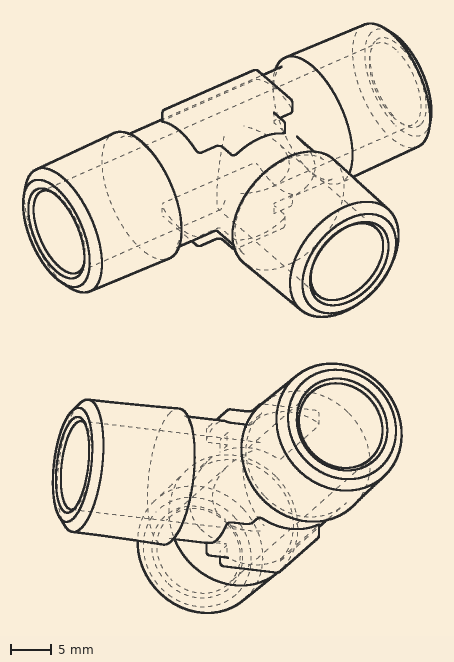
import cadquery as cq
import math

run_length = 52.0
reach = run_length / 2
body_radius = 7.65
bore_radius = 5.5
bore_chamfer = 0.45

spigot_length = 13.0
spigot_base_radius = 17.0 / 2
spigot_tip_radius = 8.25
tip_chamfer_length = 1.05
tip_face_radius = 7.1
shoulder_angle = 30.0
shoulder_fillet = 0.5
shoulder_length = (spigot_base_radius - body_radius) * math.tan(math.radians(shoulder_angle))
tube_reach = reach - spigot_length

junction_fillet = 0.5

pad_half_width = 4.0
pad_half_length = 7.3
pad_stem_reach = 7.0
pad_height = 8.4
pad_fillet = 0.5

end_directions = [(0, 1, 0), (0, -1, 0), (1, 0, 0)]


def end_plane(direction):
    """Plane at the tee centre whose normal points out of one end."""
    return cq.Plane(origin=(0, 0, 0), xDir=(0, 0, 1), normal=direction)


def make_body():
    """Run and branch tubes, still solid, with a rounded junction."""
    run = cq.Workplane("XZ").circle(body_radius).extrude(tube_reach, both=True)
    branch = cq.Workplane("YZ").circle(body_radius).extrude(tube_reach)
    return run.union(branch).edges("%ELLIPSE").fillet(junction_fillet)


def make_spigot(direction):
    """Tapered end with a sloping shoulder and a chamfered tip."""
    shoulder_start = tube_reach - shoulder_length
    tail_start = shoulder_start - shoulder_fillet
    spigot = (
        cq.Workplane("XY")
        .moveTo(0, tail_start)
        .lineTo(body_radius, tail_start)
        .lineTo(body_radius, shoulder_start)
        .lineTo(spigot_base_radius, tube_reach)
        .lineTo(spigot_tip_radius, reach - tip_chamfer_length)
        .lineTo(tip_face_radius, reach)
        .lineTo(0, reach)
        .close()
        .revolve(360, (0, 0), (0, 1))
        .rotate((0, 0, 0), (1, 0, 0), 90)
    )
    shoulder_edge = cq.selectors.NearestToPointSelector((0, 0, shoulder_start))
    spigot = spigot.edges("%CIRCLE").edges(shoulder_edge).fillet(shoulder_fillet)
    return cq.Workplane(spigot.val().moved(cq.Location(end_plane(direction))))


def make_pad():
    """T-shaped pad rising from the tee axis plane, rounded on its sides and face."""
    return (
        cq.Workplane("XY")
        .moveTo(-pad_half_width, -pad_half_length)
        .lineTo(pad_half_width, -pad_half_length)
        .lineTo(pad_half_width, -pad_half_width)
        .lineTo(pad_stem_reach, -pad_half_width)
        .lineTo(pad_stem_reach, pad_half_width)
        .lineTo(pad_half_width, pad_half_width)
        .lineTo(pad_half_width, pad_half_length)
        .lineTo(-pad_half_width, pad_half_length)
        .close()
        .extrude(pad_height)
        .edges("|Z")
        .fillet(pad_fillet)
        .faces(">Z")
        .edges()
        .fillet(pad_fillet)
    )


def make_bore(direction):
    """Bore from the tee centre out to one end, with a chamfered mouth."""
    straight = cq.Workplane(end_plane(direction)).circle(bore_radius).extrude(reach)
    mouth = cq.Solid.makeCone(
        bore_radius,
        bore_radius + bore_chamfer,
        bore_chamfer,
        pnt=cq.Vector(*direction) * (reach - bore_chamfer),
        dir=cq.Vector(*direction),
    )
    return straight.union(cq.Workplane(mouth))


result = make_body()
pad = make_pad()
result = result.union(pad).union(pad.mirror("XY"))
for direction in end_directions:
    result = result.union(make_spigot(direction))
for direction in end_directions:
    result = result.cut(make_bore(direction))